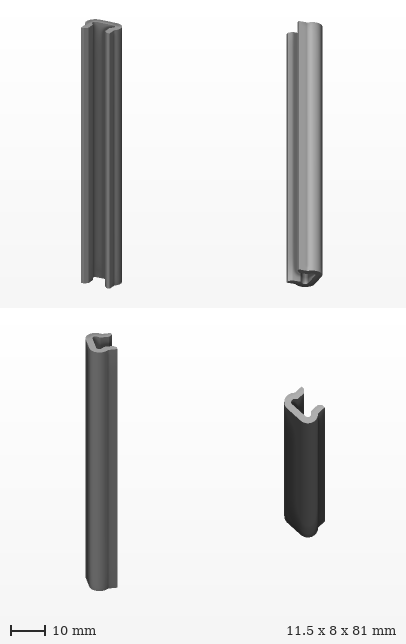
import cadquery as cq
import math

length = 81.0
width = 11.5
depth = 8.0

wall = 2.0
shoulder_radius = 3.0
neck_radius = 0.8
leg_outer_x = 4.8
leg_inner_x = leg_outer_x - wall
tip_chamfer = 1.0

half_width = width / 2
back_y = depth / 2
tip_y = -depth / 2

shoulder_x = half_width - shoulder_radius
shoulder_y = back_y - shoulder_radius
neck_x = leg_outer_x + neck_radius
center_distance = shoulder_radius + neck_radius
neck_angle = math.acos((neck_x - shoulder_x) / center_distance)
neck_y = shoulder_y - center_distance * math.sin(neck_angle)

groove_radius = shoulder_radius - wall
roof_y = back_y - wall
groove_x = shoulder_x
groove_y = shoulder_y
undercut_angle = math.radians(45)
undercut_start_x = groove_x + groove_radius * math.cos(undercut_angle)
undercut_start_y = groove_y - groove_radius * math.sin(undercut_angle)
undercut_end_y = undercut_start_y - (undercut_start_x - leg_inner_x)


def arc_point(center_x, center_y, radius, angle):
    """Point on a circle at an angle in radians."""
    return (center_x + radius * math.cos(angle), center_y + radius * math.sin(angle))


neck_start = arc_point(shoulder_x, shoulder_y, shoulder_radius, -neck_angle)
neck_middle = arc_point(neck_x, neck_y, neck_radius, math.pi - neck_angle / 2)
groove_middle = arc_point(groove_x, groove_y, groove_radius, (math.pi / 2 - undercut_angle) / 2)

half_profile = (
    cq.Workplane("XY")
    .moveTo(0, back_y)
    .lineTo(shoulder_x, back_y)
    .threePointArc((half_width, shoulder_y), neck_start)
    .threePointArc(neck_middle, (leg_outer_x, neck_y))
    .lineTo(leg_outer_x, tip_y)
    .lineTo(leg_inner_x + tip_chamfer, tip_y)
    .lineTo(leg_inner_x, tip_y + tip_chamfer)
    .lineTo(leg_inner_x, undercut_end_y)
    .lineTo(undercut_start_x, undercut_start_y)
    .threePointArc(groove_middle, (groove_x, roof_y))
    .lineTo(0, roof_y)
    .close()
)

half_clip = half_profile.extrude(length)
result = half_clip.union(half_clip.mirror("YZ")).clean()